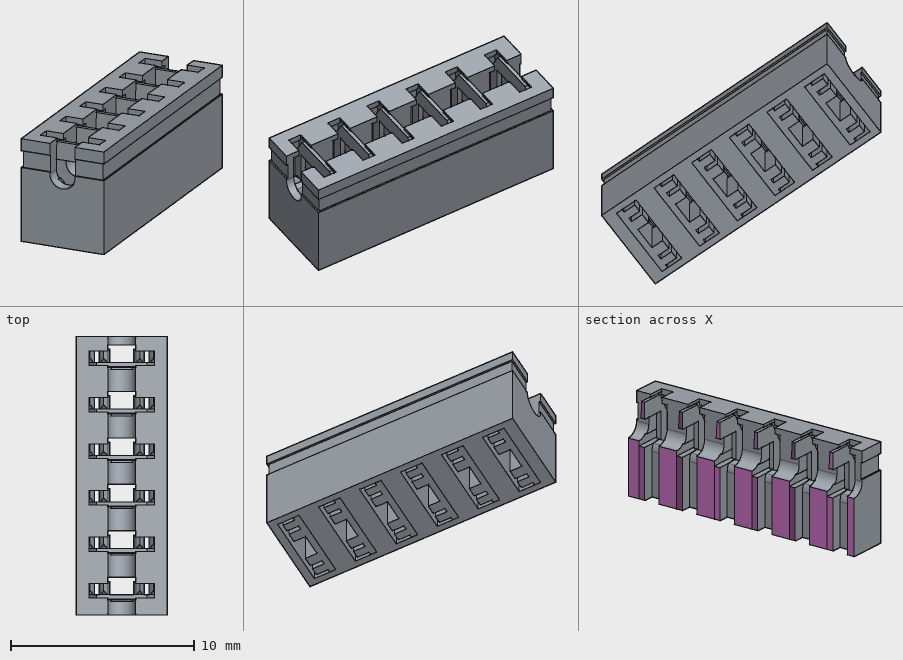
import cadquery as cq
import math

LENGTH = 15.24
WIDTH = 5.0
HEIGHT = 5.97
STATIONS = 6
PITCH = LENGTH / STATIONS

WAIST_INSET = 0.09
WAIST_BOTTOM = 4.3
WAIST_TOP = 5.27

CHANNEL_WIDTH = 1.51
CHANNEL_CENTRE_Z = 4.19

MOUTH_HALF_WIDTH = 1.78
MOUTH_FRONT = -0.32
MOUTH_BACK = 0.45
UNDERCUT = 0.34
LEDGE_Z = 5.61
POCKET_HALF_WIDTH = MOUTH_HALF_WIDTH + UNDERCUT
POCKET_BACK = MOUTH_BACK + UNDERCUT

HEAD_TOP = 5.79
HEAD_BOTTOM = 4.79
HEAD_HALF_WIDTH = 1.39
SHOULDER_ANGLE = 60.0
SHOULDER_DROP = (POCKET_HALF_WIDTH - HEAD_HALF_WIDTH) * math.tan(math.radians(SHOULDER_ANGLE))
FRAME_BACK = -0.15
HEAD_TOP_FRONT = -0.38
FRAME_FRONT = -0.44
FOOT_FRONT = -0.53
FOOT_POCKET_TOP = 3.67

INNER_RIDGE_Z = 3.35
OUTER_RIDGE_Z = 3.14
INNER_RIDGE_X = 0.99
OUTER_RIDGE_X = 1.72
FLANK_REACH = 0.25
FLANK_SLOPE = 45.0
BEVEL = 0.21
INNER_TIP_X = 0.65
LEAD_IN_REACH = INNER_RIDGE_X - BEVEL - INNER_TIP_X
LEAD_IN_SLOPE = 60.0
TINE_BACK = 0.56
FOOT_TOP = INNER_RIDGE_Z - BEVEL
POST_INNER_X = OUTER_RIDGE_X - FLANK_REACH


def block(x_min, x_max, y_min, y_max, z_min, z_max):
    size = (x_max - x_min, y_max - y_min, z_max - z_min)
    return cq.Workplane("XY").box(*size, centered=False).translate((x_min, y_min, z_min))


def wire_channel():
    """Round-bottomed channel, open at the top and at both ends."""
    radius = CHANNEL_WIDTH / 2
    return (
        cq.Workplane("XZ", origin=(0, LENGTH / 2, 0))
        .moveTo(-radius, HEIGHT)
        .lineTo(-radius, CHANNEL_CENTRE_Z)
        .threePointArc((0, CHANNEL_CENTRE_Z - radius), (radius, CHANNEL_CENTRE_Z))
        .lineTo(radius, HEIGHT)
        .close()
        .extrude(LENGTH)
    )


def waist_groove():
    """Shallow band removed all round the outside."""
    band_height = WAIST_TOP - WAIST_BOTTOM
    outer = cq.Workplane("XY", origin=(0, 0, WAIST_BOTTOM)).rect(WIDTH, LENGTH)
    return outer.rect(WIDTH - 2 * WAIST_INSET, LENGTH - 2 * WAIST_INSET).extrude(band_height)


def contact_pocket():
    """Pocket through the block, undercut below its narrower mouth and fitted to the contact's front."""
    mouth = block(-MOUTH_HALF_WIDTH, MOUTH_HALF_WIDTH, MOUTH_FRONT, MOUTH_BACK, LEDGE_Z, HEIGHT)
    chamber = (
        cq.Workplane("YZ", origin=(-POCKET_HALF_WIDTH, 0, 0))
        .moveTo(FOOT_FRONT, 0)
        .lineTo(FOOT_FRONT, FOOT_POCKET_TOP)
        .lineTo(FRAME_FRONT, FOOT_POCKET_TOP)
        .lineTo(FRAME_FRONT, HEAD_BOTTOM)
        .lineTo(HEAD_TOP_FRONT, HEAD_TOP)
        .lineTo(MOUTH_FRONT, HEAD_TOP)
        .lineTo(MOUTH_FRONT, LEDGE_Z)
        .lineTo(POCKET_BACK, LEDGE_Z)
        .lineTo(POCKET_BACK, 0)
        .close()
        .extrude(2 * POCKET_HALF_WIDTH)
    )
    return chamber.union(mouth)


def make_housing(station_ys):
    body = cq.Workplane("XY").box(WIDTH, LENGTH, HEIGHT, centered=(True, True, False))
    body = body.cut(waist_groove()).cut(wire_channel())
    for y in station_ys:
        body = body.cut(contact_pocket().translate((0, y, 0)))
    return body.solids().val()


def contact_frame():
    """Upright plate with sloping shoulders, a leaning head, a window for the wire and a thicker foot."""
    outline = (
        cq.Workplane("XZ", origin=(0, FRAME_BACK, 0))
        .moveTo(-POCKET_HALF_WIDTH, 0)
        .lineTo(-POCKET_HALF_WIDTH, HEAD_TOP - SHOULDER_DROP)
        .lineTo(-HEAD_HALF_WIDTH, HEAD_TOP)
        .lineTo(HEAD_HALF_WIDTH, HEAD_TOP)
        .lineTo(POCKET_HALF_WIDTH, HEAD_TOP - SHOULDER_DROP)
        .lineTo(POCKET_HALF_WIDTH, 0)
        .close()
        .extrude(FRAME_BACK - FOOT_FRONT)
    )
    side_section = (
        cq.Workplane("YZ", origin=(-POCKET_HALF_WIDTH, 0, 0))
        .moveTo(FOOT_FRONT, 0)
        .lineTo(FRAME_BACK, 0)
        .lineTo(FRAME_BACK, HEAD_TOP)
        .lineTo(HEAD_TOP_FRONT, HEAD_TOP)
        .lineTo(FRAME_FRONT, HEAD_BOTTOM)
        .lineTo(FRAME_FRONT, FOOT_TOP)
        .lineTo(FOOT_FRONT, FOOT_TOP)
        .close()
        .extrude(2 * POCKET_HALF_WIDTH)
    )
    window = block(-POST_INNER_X, POST_INNER_X, FRAME_FRONT, FRAME_BACK, FOOT_TOP, HEAD_BOTTOM)
    return outline.intersect(side_section).cut(window)


def curved_flank(x, z, reach, slope):
    """Middle and end of an arc that starts at (x, z) at `slope` degrees and falls to vertical.

    The arc goes sideways by `reach`; its sign gives the direction.
    """
    turn = math.radians(90 - slope)
    radius = abs(reach) / (1 - math.cos(turn))
    side = math.copysign(1, reach)
    end = (x + reach, z - radius * math.sin(turn))
    middle = (
        end[0] - side * radius * (1 - math.cos(turn / 2)),
        end[1] + radius * math.sin(turn / 2),
    )
    return middle, end


def inner_tine():
    """Tine beside the wire: curved outer flank, bevel and curved lead-in on the wire side."""
    bevel_foot_x = INNER_RIDGE_X - BEVEL
    bevel_foot_z = INNER_RIDGE_Z - BEVEL
    flank_middle, flank_end = curved_flank(INNER_RIDGE_X, INNER_RIDGE_Z, FLANK_REACH, FLANK_SLOPE)
    lead_middle, lead_end = curved_flank(bevel_foot_x, bevel_foot_z, -LEAD_IN_REACH, LEAD_IN_SLOPE)
    return (
        cq.Workplane("XZ", origin=(0, TINE_BACK, 0))
        .moveTo(lead_end[0], 0)
        .lineTo(*lead_end)
        .threePointArc(lead_middle, (bevel_foot_x, bevel_foot_z))
        .lineTo(INNER_RIDGE_X, INNER_RIDGE_Z)
        .threePointArc(flank_middle, flank_end)
        .lineTo(flank_end[0], 0)
        .close()
        .extrude(TINE_BACK - FRAME_BACK)
    )


def outer_tine():
    """Tine beside the pocket wall: curved flank facing the inner tine, bevel on the wall side."""
    bevel_foot_x = OUTER_RIDGE_X + BEVEL
    bevel_foot_z = OUTER_RIDGE_Z - BEVEL
    flank_middle, flank_end = curved_flank(OUTER_RIDGE_X, OUTER_RIDGE_Z, -FLANK_REACH, FLANK_SLOPE)
    return (
        cq.Workplane("XZ", origin=(0, TINE_BACK, 0))
        .moveTo(flank_end[0], 0)
        .lineTo(*flank_end)
        .threePointArc(flank_middle, (OUTER_RIDGE_X, OUTER_RIDGE_Z))
        .lineTo(bevel_foot_x, bevel_foot_z)
        .lineTo(bevel_foot_x, 0)
        .close()
        .extrude(TINE_BACK - FRAME_BACK)
    )


def hip_cut(ridge_z):
    """Wedge that slopes a ridge down to the frame."""
    return (
        cq.Workplane("YZ", origin=(-POCKET_HALF_WIDTH, 0, 0))
        .moveTo(FRAME_BACK, ridge_z - BEVEL)
        .lineTo(FRAME_BACK + BEVEL, ridge_z)
        .lineTo(FRAME_BACK, ridge_z)
        .close()
        .extrude(2 * POCKET_HALF_WIDTH)
    )


def make_contact(y):
    inner = inner_tine().cut(hip_cut(INNER_RIDGE_Z))
    outer = outer_tine().cut(hip_cut(OUTER_RIDGE_Z))
    tines = inner.union(outer)
    contact = contact_frame().union(tines).union(tines.mirror("YZ"))
    return contact.translate((0, y, 0)).solids().val()


station_centres = [(i + 0.5) * PITCH - LENGTH / 2 for i in range(STATIONS)]

housing = make_housing(station_centres)
contacts = [make_contact(y) for y in station_centres]

result = cq.Compound.makeCompound([housing, *contacts])